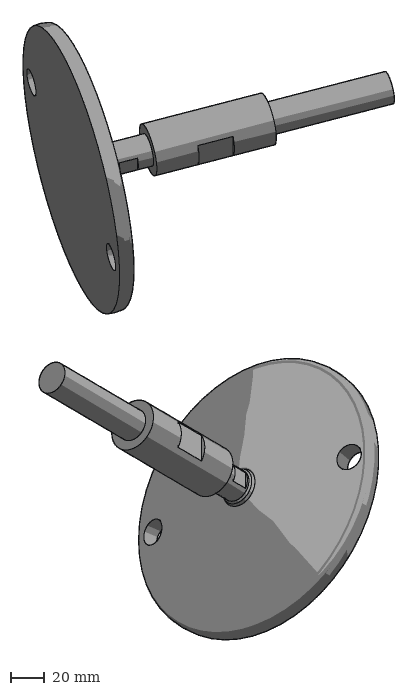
import cadquery as cq
import math


foot_diameter = 178.0
rim_draft = 0.5
widest_height = 4.5
round_start_height = 7.5
rim_top_height = 9.8
foot_height = 22.5
foot_top_radius = 12.8
cone_start_radius = 84.8

hole_diameter = 16.5
hole_offset = 73.0
hole_length = 60.0

total_length = 200.0
rod_diameter = 20.0
flare_base_radius = 12.0
flare_shoulder_radius = 11.2
flare_shoulder_height = 24.5
flare_end_height = 25.8
sleeve_diameter = 32.0
sleeve_start = 48.5
sleeve_length = 75.2

sleeve_flat_start = 75.0
sleeve_flat_length = 22.2
sleeve_across_flats = 27.0
rod_flat_start = 27.2
rod_flat_length = 11.5
rod_across_flats = 17.0

rim_radius = foot_diameter / 2 - rim_draft
corner_radius = rim_top_height - round_start_height
corner_inner_radius = rim_radius - corner_radius
cone_angle = math.degrees(
    math.atan2(foot_height - rim_top_height, cone_start_radius - foot_top_radius)
)


def revolve_about_y(outline):
    """Turn a closed half outline, drawn in the XY plane, about the Y axis."""
    return outline.close().revolve(360, (0, 0, 0), (0, 1, 0))


def mounting_hole(side):
    """Cylinder square to the cone, leaning outward on the given side (-1 or 1)."""
    lean = math.radians(cone_angle)
    direction = cq.Vector(side * math.sin(lean), math.cos(lean), 0)
    underside_point = cq.Vector(side * hole_offset, 0, 0)
    start = underside_point - direction * (hole_length / 2)
    return cq.Solid.makeCylinder(hole_diameter / 2, hole_length, start, direction)


def make_foot():
    corner_middle = corner_radius * math.sqrt(0.5)
    foot = revolve_about_y(
        cq.Workplane("XY")
        .lineTo(rim_radius, 0)
        .lineTo(foot_diameter / 2, widest_height)
        .lineTo(rim_radius, round_start_height)
        .threePointArc(
            (corner_inner_radius + corner_middle, round_start_height + corner_middle),
            (corner_inner_radius, rim_top_height),
        )
        .lineTo(cone_start_radius, rim_top_height)
        .lineTo(foot_top_radius, foot_height)
        .lineTo(0, foot_height)
    )
    for side in (-1, 1):
        foot = foot.cut(cq.Workplane(obj=mounting_hole(side)))
    return foot


def cut_wrench_flats(body, start, length, across_flats, diameter):
    """Mill two parallel flats facing -X and +X."""
    depth = (diameter - across_flats) / 2
    for side in (-1, 1):
        center_x = side * (across_flats + depth) / 2
        cutter = cq.Workplane("XY").box(depth, length, diameter)
        body = body.cut(cutter.translate((center_x, start + length / 2, 0)))
    return body


def make_spindle():
    rod_radius = rod_diameter / 2
    sleeve_radius = sleeve_diameter / 2
    sleeve_end = sleeve_start + sleeve_length
    spindle = revolve_about_y(
        cq.Workplane("XY")
        .moveTo(0, foot_height)
        .lineTo(flare_base_radius, foot_height)
        .lineTo(flare_shoulder_radius, flare_shoulder_height)
        .lineTo(rod_radius, flare_end_height)
        .lineTo(rod_radius, sleeve_start)
        .lineTo(sleeve_radius, sleeve_start)
        .lineTo(sleeve_radius, sleeve_end)
        .lineTo(rod_radius, sleeve_end)
        .lineTo(rod_radius, total_length)
        .lineTo(0, total_length)
    )
    spindle = cut_wrench_flats(
        spindle, sleeve_flat_start, sleeve_flat_length, sleeve_across_flats, sleeve_diameter
    )
    return cut_wrench_flats(
        spindle, rod_flat_start, rod_flat_length, rod_across_flats, rod_diameter
    )


foot = make_foot()
spindle = make_spindle()
result = cq.Compound.makeCompound([foot.val(), spindle.val()])